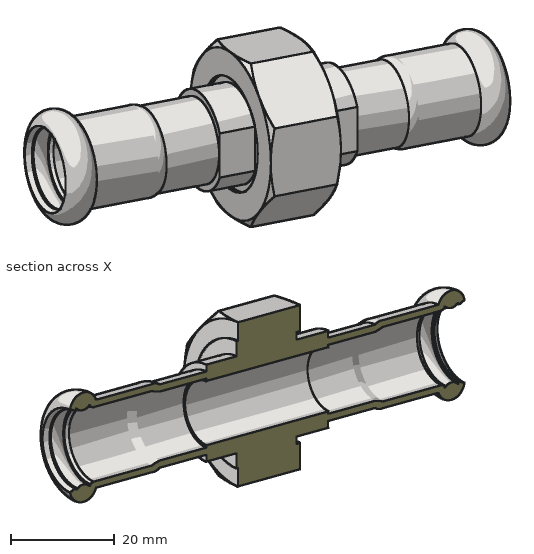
import cadquery as cq
import math

length = 96.4
end = length / 2

bead_diameter = 22.75
bead_width = 6.5
mouth_diameter = 17.2
lip_diameter = 16.0
socket_diameter = 18.3
socket_bore = 15.3
socket_inner_end = 28.2
shoulder_length = 1.9
seal_edge_diameter = 16.8
seal_inner_diameter = 15.3
seal_width = 3.3
lip_length = 0.4
socket_lead_in = 0.9

tube_diameter = 17.4
tube_bore = 14.2

collar_diameter = 20.1
collar_flats = 17.9
collar_end = 14.9
body_bore = 13.2

nut_across_flats = 34.0
nut_front = -8.0
nut_back = 7.2
chamfer_angle = 30.0
nut_opening = 23.0
nut_recess_depth = 0.8
flange_diameter = 26.4
flange_height = 0.3


def cylinder(diameter, start, stop):
    """Cylinder along Y from start to stop."""
    plane = cq.Workplane("XZ", origin=(0, stop, 0))
    return plane.circle(diameter / 2).extrude(stop - start)


def revolve_about_y(profile):
    return profile.close().revolve(360, (0, 0, 0), (0, 1, 0))


def fitting_end():
    """Solid outside of the +Y end: tube, rounded shoulder, socket and bead."""
    tube_radius = tube_diameter / 2
    socket_radius = socket_diameter / 2
    bead_start = end - bead_width
    bead_middle = end - bead_width / 2
    shoulder_end = socket_inner_end - shoulder_length
    shoulder_middle = (
        tube_radius + (socket_radius - tube_radius) * math.sin(math.pi / 4),
        socket_inner_end - shoulder_length * math.cos(math.pi / 4),
    )
    profile = (
        cq.Workplane("XY")
        .lineTo(tube_radius, 0)
        .lineTo(tube_radius, shoulder_end)
        .threePointArc(shoulder_middle, (socket_radius, socket_inner_end))
        .lineTo(socket_radius, bead_start)
        .threePointArc((bead_diameter / 2, bead_middle), (mouth_diameter / 2, end))
        .lineTo(0, end)
    )
    return revolve_about_y(profile)


def end_bore():
    """Inside of the +Y end: mouth, inward-bulging seal, socket bore and tube bore."""
    seal_middle = end - bead_width / 2
    seal_inner = seal_middle - seal_width / 2
    seal_outer = seal_middle + seal_width / 2
    shoulder_end = socket_inner_end - shoulder_length
    profile = (
        cq.Workplane("XY")
        .moveTo(0, collar_end)
        .lineTo(tube_bore / 2, collar_end)
        .lineTo(tube_bore / 2, shoulder_end)
        .lineTo(socket_bore / 2, socket_inner_end)
        .lineTo(socket_bore / 2, seal_inner - socket_lead_in)
        .lineTo(lip_diameter / 2, seal_inner)
        .lineTo(seal_edge_diameter / 2, seal_inner)
        .threePointArc((seal_inner_diameter / 2, seal_middle), (seal_edge_diameter / 2, seal_outer))
        .lineTo(lip_diameter / 2, seal_outer)
        .lineTo(lip_diameter / 2, seal_outer + lip_length)
        .lineTo(mouth_diameter / 2, end)
        .lineTo(0, end)
    )
    return revolve_about_y(profile)


def both_ends(shape):
    return shape.union(shape.mirror("XZ"))


def collar():
    """Central body with a pair of wrench flats facing X."""
    flats = cq.Workplane("XY").box(collar_flats, 2 * collar_end, collar_diameter)
    return cylinder(collar_diameter, -collar_end, collar_end).intersect(flats)


def nut():
    """Octagonal nut with chamfered corners, an open front and a rear flange."""
    across_corners = nut_across_flats / math.cos(math.pi / 8)
    face_radius = nut_across_flats / 2
    corner_radius = across_corners / 2
    chamfer_height = (corner_radius - face_radius) * math.tan(math.radians(chamfer_angle))
    octagon = (
        cq.Workplane("XZ", origin=(0, nut_back, 0))
        .transformed(rotate=(0, 0, 180 / 8))
        .polygon(8, across_corners)
        .extrude(nut_back - nut_front)
    )
    chamfer_envelope = revolve_about_y(
        cq.Workplane("XY")
        .moveTo(0, nut_front)
        .lineTo(face_radius, nut_front)
        .lineTo(corner_radius, nut_front + chamfer_height)
        .lineTo(corner_radius, nut_back - chamfer_height)
        .lineTo(face_radius, nut_back)
        .lineTo(0, nut_back)
    )
    recess = cylinder(nut_opening, nut_front, nut_front + nut_recess_depth)
    flange = cylinder(flange_diameter, nut_front + nut_recess_depth, nut_back + flange_height)
    return octagon.intersect(chamfer_envelope).cut(recess).union(flange)


outside = both_ends(fitting_end()).union(nut()).union(collar())
through_bore = cylinder(body_bore, -end, end)
result = outside.cut(both_ends(end_bore())).cut(through_bore)